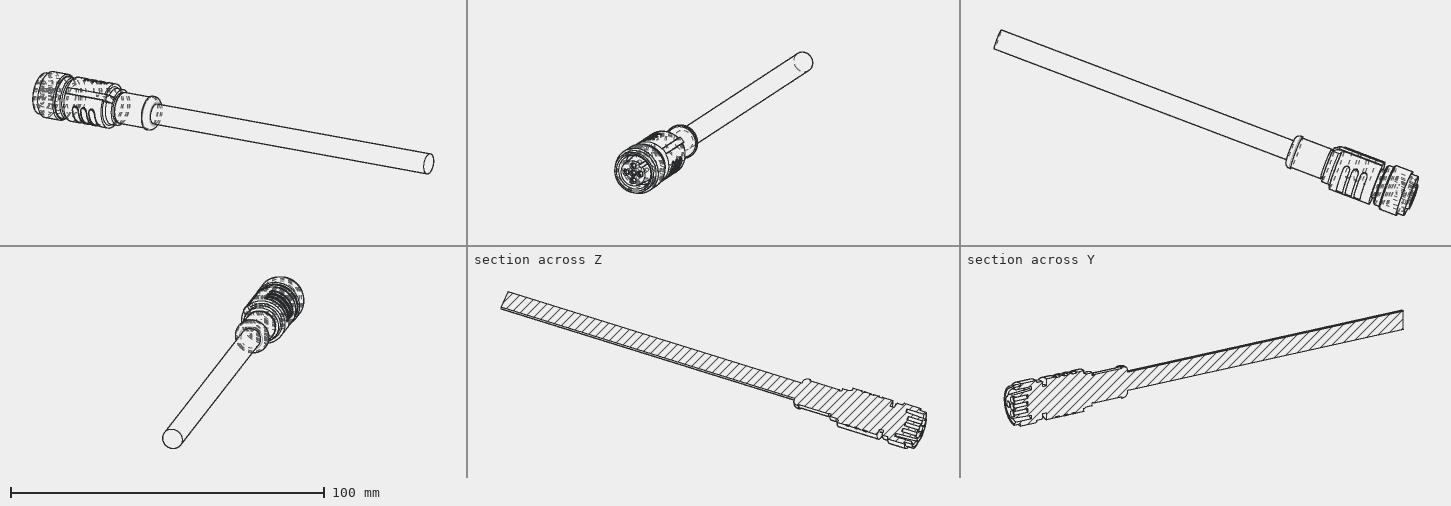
import cadquery as cq
import math

TOTAL_LENGTH = 142.2

SLEEVE_FRONT = 0.9
COLLAR_FRONT = 3.1
COLLAR_BACK = 9.1
SLEEVE_BACK = 11.2
BODY_FRONT = 12.5
BODY_BACK = 26.2
RING_FRONT = 27.0
RING_BACK = 29.2
STRAIN_RELIEF_FRONT = 29.9
LIP_FRONT = 40.0
LIP_ARC_START = 40.4
LIP_BACK = 42.1

COLLAR_DIAMETER = 15.0
COLLAR_RADIUS = COLLAR_DIAMETER / 2
SLEEVE_RADIUS = 6.7
NECK_RADIUS = 4.8
BODY_DIAMETER = 14.4
BODY_RADIUS = BODY_DIAMETER / 2
SHOULDER_RADIUS = 6.3
RING_RADIUS = 5.8
STEP_RADIUS = 4.8
STRAIN_RELIEF_DIAMETER = 10.1
STRAIN_RELIEF_RADIUS = STRAIN_RELIEF_DIAMETER / 2
LIP_DIAMETER = 11.0
LIP_RADIUS = LIP_DIAMETER / 2
LIP_BACK_RADIUS = 3.8
CABLE_RADIUS = 3.3

COLLAR_CHAMFER = 0.4
SLEEVE_CHAMFER = 0.4

SOCKET_RADIUS = 5.5
SOCKET_DEPTH = 7.1
SOCKET_CHAMFER = 0.5
INSERT_TIP_RADIUS = 4.1
INSERT_ROOT_RADIUS = 4.5
CONTACT_COUNT = 4
CONTACT_CIRCLE_RADIUS = 2.4
CONTACT_HOLE_RADIUS = 0.5
CONTACT_MOUTH_RADIUS = 1.0
CONTACT_MOUTH_DEPTH = 1.0
CONTACT_HOLE_DEPTH = 5.7
KEYWAY_WIDTH = 1.1
KEYWAY_DEPTH = 0.7

KEY_ANGLE = 45.0
RIB_ANGLE = 40.0
RIB_WIDTH = 2.1
RIB_ROUNDING = 0.3
RIB_TOP_RADIUS = 7.4
RIB_SLOPE_FRONT = 27.3
RIB_BACK = RING_BACK
GRIP_COUNT = 3
GRIP_PITCH = 3.0
GRIP_WIDTH = 2.1
GRIP_LENGTH = 10.4
GRIP_DEPTH = 0.3
GRIP_CENTRE = 19.6


def turned(points):
    """Solid of revolution about the X axis from (x, radius) points."""
    return cq.Workplane("XY").polyline(points).close().revolve(360, (0, 0, 0), (1, 0, 0))


def cylinder(start, length, radius, y=0.0, z=0.0):
    """Cylinder along +X starting at X = start."""
    return cq.Workplane("YZ", origin=(start, y, z)).circle(radius).extrude(length)


def rolled(shape, angle):
    """Turn a shape about the X axis, carrying +Z towards -Y."""
    return shape.rotate((0, 0, 0), (1, 0, 0), angle)


def outer_shape():
    """Coupling sleeve and collar, body, strain relief and cable."""
    return turned([
        (SLEEVE_FRONT, 0),
        (SLEEVE_FRONT, SLEEVE_RADIUS),
        (COLLAR_FRONT, SLEEVE_RADIUS),
        (COLLAR_FRONT, COLLAR_RADIUS),
        (COLLAR_BACK - COLLAR_CHAMFER, COLLAR_RADIUS),
        (COLLAR_BACK, COLLAR_RADIUS - COLLAR_CHAMFER),
        (COLLAR_BACK, SLEEVE_RADIUS),
        (SLEEVE_BACK - SLEEVE_CHAMFER, SLEEVE_RADIUS),
        (SLEEVE_BACK, SLEEVE_RADIUS - SLEEVE_CHAMFER),
        (SLEEVE_BACK, NECK_RADIUS),
        (BODY_FRONT, NECK_RADIUS),
        (BODY_FRONT, BODY_RADIUS),
        (BODY_BACK, BODY_RADIUS),
        (BODY_BACK, SHOULDER_RADIUS),
        (RING_FRONT, RING_RADIUS),
        (RING_BACK, RING_RADIUS),
        (RING_BACK, STEP_RADIUS),
        (STRAIN_RELIEF_FRONT, STEP_RADIUS),
        (STRAIN_RELIEF_FRONT, STRAIN_RELIEF_RADIUS),
        (LIP_FRONT, STRAIN_RELIEF_RADIUS),
        (LIP_FRONT, CABLE_RADIUS),
        (TOTAL_LENGTH, CABLE_RADIUS),
        (TOTAL_LENGTH, 0),
    ])


def strain_relief_lip():
    """Domed collar where the cable leaves the strain relief."""
    middle_angle = math.radians(45)
    arc_middle = (
        LIP_ARC_START + (LIP_BACK - LIP_ARC_START) * math.sin(middle_angle),
        LIP_BACK_RADIUS + (LIP_RADIUS - LIP_BACK_RADIUS) * math.cos(middle_angle),
    )
    profile = (
        cq.Workplane("XY")
        .moveTo(LIP_FRONT, 0)
        .lineTo(LIP_FRONT, LIP_RADIUS)
        .lineTo(LIP_ARC_START, LIP_RADIUS)
        .threePointArc(arc_middle, (LIP_BACK, LIP_BACK_RADIUS))
        .lineTo(LIP_BACK, 0)
        .close()
    )
    return profile.revolve(360, (0, 0, 0), (1, 0, 0))


def socket_recess():
    """Chamfered bore that receives the mating plug."""
    return turned([
        (SLEEVE_FRONT, 0),
        (SLEEVE_FRONT, SOCKET_RADIUS + SOCKET_CHAMFER),
        (SLEEVE_FRONT + SOCKET_CHAMFER, SOCKET_RADIUS),
        (SOCKET_DEPTH, SOCKET_RADIUS),
        (SOCKET_DEPTH, 0),
    ])


def contact_hole(y, z):
    """Stepped blind hole with its wider mouth at the mating face."""
    mouth = cylinder(0, CONTACT_MOUTH_DEPTH, CONTACT_MOUTH_RADIUS, y, z)
    return cylinder(0, CONTACT_HOLE_DEPTH, CONTACT_HOLE_RADIUS, y, z).union(mouth)


def contact_insert():
    """Tapered insert with a centre contact, a ring of contacts and a keyway."""
    insert = turned([
        (0, 0),
        (0, INSERT_TIP_RADIUS),
        (SOCKET_DEPTH, INSERT_ROOT_RADIUS),
        (SOCKET_DEPTH, 0),
    ])
    insert = insert.cut(contact_hole(0, 0))
    for i in range(CONTACT_COUNT):
        angle = 2 * math.pi * i / CONTACT_COUNT
        y = CONTACT_CIRCLE_RADIUS * math.cos(angle)
        z = CONTACT_CIRCLE_RADIUS * math.sin(angle)
        insert = insert.cut(contact_hole(y, z))
    keyway = cq.Workplane("XY").box(SOCKET_DEPTH, KEYWAY_WIDTH, SOCKET_RADIUS, centered=(False, True, False))
    keyway = keyway.translate((0, 0, INSERT_TIP_RADIUS - KEYWAY_DEPTH))
    return insert.cut(rolled(keyway, 90 - KEY_ANGLE))


def orientation_rib():
    """Rounded rib on the body whose back end slopes down to the ring."""
    rib_length = RIB_BACK - BODY_FRONT
    rib = cq.Workplane("XY").box(rib_length, RIB_WIDTH, RIB_TOP_RADIUS, centered=(False, True, False))
    rib = rib.edges("|X and >Z").fillet(RIB_ROUNDING).translate((BODY_FRONT, 0, 0))
    envelope = turned([
        (BODY_FRONT, 0),
        (BODY_FRONT, RIB_TOP_RADIUS),
        (RIB_SLOPE_FRONT, RIB_TOP_RADIUS),
        (RIB_BACK, RING_RADIUS),
        (RIB_BACK, 0),
    ])
    return rolled(rib.intersect(envelope), 90 - RIB_ANGLE)


def grip_recesses():
    """Shallow round-ended grooves on two opposite sides of the body, a quarter turn from the keyway."""
    body_length = BODY_BACK - BODY_FRONT
    skin = cylinder(BODY_FRONT, body_length, BODY_RADIUS + GRIP_DEPTH)
    skin = skin.cut(cylinder(BODY_FRONT, body_length, BODY_RADIUS - GRIP_DEPTH))
    first = GRIP_CENTRE - GRIP_PITCH * (GRIP_COUNT - 1) / 2
    places = [(first + i * GRIP_PITCH, 0) for i in range(GRIP_COUNT)]
    slots = cq.Workplane("XY").pushPoints(places).slot2D(GRIP_LENGTH, GRIP_WIDTH, 90)
    slots = slots.extrude(BODY_DIAMETER, both=True)
    return rolled(skin.intersect(slots), -KEY_ANGLE)


result = (
    outer_shape()
    .union(strain_relief_lip())
    .union(orientation_rib())
    .cut(grip_recesses())
    .cut(socket_recess())
    .union(contact_insert())
)